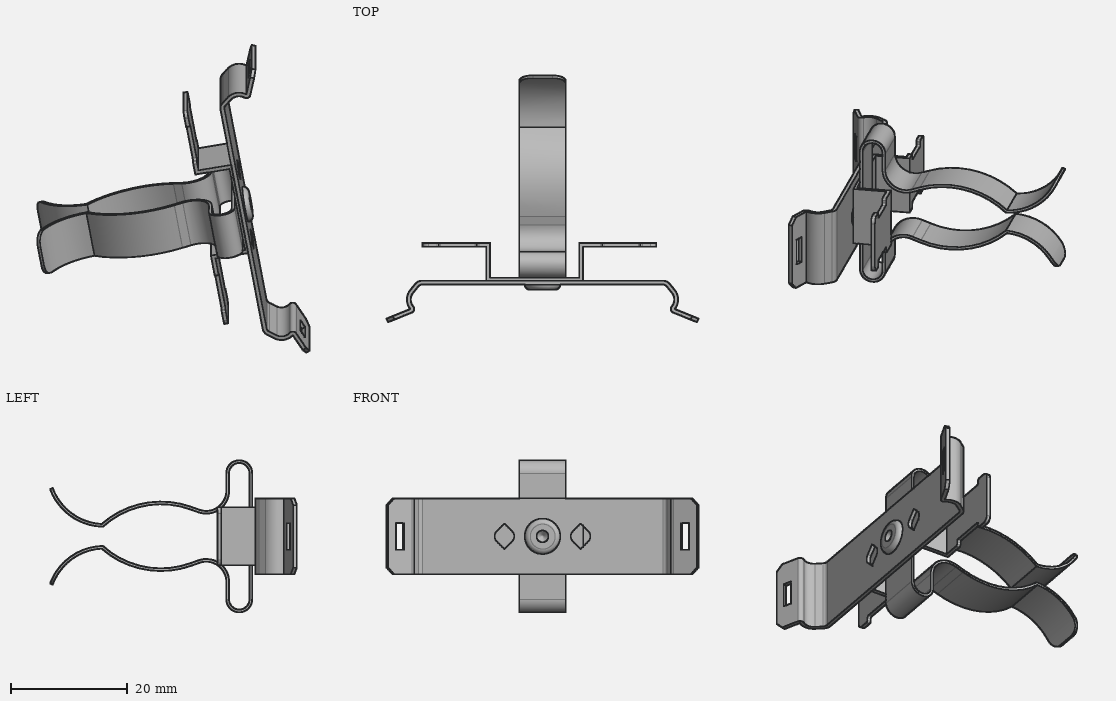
import cadquery as cq
import math


SHEET = 0.7
THIN_SHEET = 0.5

PLATE_HEIGHT = 13.0
PLATE_LENGTH = 53.35
FLAT_HALF = 20.55
SHOULDER_RADIUS = 1.6
SHOULDER_ANGLE = 53.0
BULGE_RADIUS = 2.5
BULGE_X = 23.2
BULGE_Y = -3.25
BULGE_RETURN_ANGLE = 40.0
TAB_ANGLE = 22.0
TAB_CHAMFER = 1.2
TAB_SLOT_WIDTH = 1.5
TAB_SLOT_HEIGHT = 4.55
TAB_SLOT_X = 24.6
DIAMOND_X = 6.5
DIAMOND_HALF_HEIGHT = 2.2
DIAMOND_CORNER_RADIUS = 1.25

BRACKET_HEIGHT = 10.0
BRACKET_DEPTH = 6.45
BRACKET_LENGTH = 40.0
BRACKET_X = -0.55
CHANNEL_WIDTH = 16.6
CHANNEL_X = -1.35
NOTCH_LENGTH = 34.45
NOTCH_WIDTH = 6.5
NOTCH_DEPTH = 1.1
NOTCH_RADIUS = 0.3
EAR_RADIUS = 1.0

CLIP_WIDTH = 8.0
CLIP_HEIGHT = 26.05
LOOP_RADIUS = 2.0
THROAT_RADIUS = 3.7
THROAT_Z = 4.1
JAW_RADIUS = 15.05
JAW_Y = 16.1
JAW_Z = 5.7
LIP_RADIUS = 9.6
LIP_Y = 25.8
LIP_Z = 11.45
LIP_END_ANGLE = 20.0
LIP_CORNER_RADIUS = 2.35

RIVET_HEAD_RADIUS = 3.05
RIVET_HEAD_HEIGHT = 0.9
RIVET_SHANK_RADIUS = 1.5
RIVET_DIMPLE_RADIUS = 1.0
RIVET_DIMPLE_DEPTH = 1.0


def polar(center, radius, degrees):
    """Point at an angle on a circle."""
    angle = math.radians(degrees)
    return (center[0] + radius * math.cos(angle), center[1] + radius * math.sin(angle))


def rivet_hole(depth):
    """Cylinder on the rivet axis from the plate front to the given Y."""
    face = cq.Workplane("XZ", origin=(0, -SHEET, 0)).circle(RIVET_SHANK_RADIUS)
    return face.extrude(-(depth + SHEET))


BULGE_CENTER = (BULGE_X - BULGE_RADIUS, BULGE_Y)
REAR_BEND = polar(BULGE_CENTER, BULGE_RADIUS, -BULGE_RETURN_ANGLE)


def tab_rear_y(x):
    """Y of the tab's rear face at a given X."""
    return REAR_BEND[1] - (x - REAR_BEND[0]) * math.tan(math.radians(TAB_ANGLE))


def plate_section():
    """Right half of the bent strip, seen along Z."""
    shoulder = (FLAT_HALF, -SHOULDER_RADIUS)
    shoulder_end = 90 - SHOULDER_ANGLE
    tab_end = (PLATE_LENGTH / 2, tab_rear_y(PLATE_LENGTH / 2))
    front_normal = -90 - TAB_ANGLE
    bend_start = 180 - BULGE_RETURN_ANGLE
    bend_middle = (bend_start + front_normal + 360) / 2
    shoulder_inner = SHOULDER_RADIUS - SHEET
    bulge_inner = BULGE_RADIUS - SHEET
    return (
        cq.Workplane("XY", origin=(0, 0, -PLATE_HEIGHT / 2))
        .moveTo(0, 0)
        .lineTo(FLAT_HALF, 0)
        .threePointArc(polar(shoulder, SHOULDER_RADIUS, (90 + shoulder_end) / 2),
                       polar(shoulder, SHOULDER_RADIUS, shoulder_end))
        .lineTo(*polar(BULGE_CENTER, BULGE_RADIUS, shoulder_end))
        .threePointArc(polar(BULGE_CENTER, BULGE_RADIUS, 0), REAR_BEND)
        .lineTo(*tab_end)
        .lineTo(*polar(tab_end, SHEET, front_normal))
        .lineTo(*polar(REAR_BEND, SHEET, front_normal))
        .threePointArc(polar(REAR_BEND, SHEET, bend_middle), polar(REAR_BEND, SHEET, bend_start))
        .threePointArc(polar(BULGE_CENTER, bulge_inner, 0), polar(BULGE_CENTER, bulge_inner, shoulder_end))
        .lineTo(*polar(shoulder, shoulder_inner, shoulder_end))
        .threePointArc(polar(shoulder, shoulder_inner, (90 + shoulder_end) / 2),
                       (FLAT_HALF, -SHEET))
        .lineTo(0, -SHEET)
        .close()
    )


def make_plate():
    half = plate_section().extrude(PLATE_HEIGHT)
    half = half.faces(">X").edges("<Z or >Z").chamfer(TAB_CHAMFER)

    slot_cut_depth = 4 * SHEET
    slot = (
        cq.Workplane("XY")
        .box(TAB_SLOT_WIDTH, slot_cut_depth, TAB_SLOT_HEIGHT)
        .rotate((0, 0, 0), (0, 0, 1), -TAB_ANGLE)
        .translate((TAB_SLOT_X, tab_rear_y(TAB_SLOT_X), 0))
    )
    diamond = (
        cq.Workplane("XZ")
        .polyline([(DIAMOND_HALF_HEIGHT, 0), (0, DIAMOND_HALF_HEIGHT),
                   (-DIAMOND_HALF_HEIGHT, 0), (0, -DIAMOND_HALF_HEIGHT)])
        .close()
        .extrude(SHEET)
        .edges("<X or >X")
        .fillet(DIAMOND_CORNER_RADIUS)
        .translate((DIAMOND_X, 0, 0))
    )
    half = half.cut(slot).cut(diamond)
    return half.union(half.mirror("YZ")).cut(rivet_hole(0))


def make_bracket():
    wall_left = CHANNEL_X - CHANNEL_WIDTH / 2
    wall_right = CHANNEL_X + CHANNEL_WIDTH / 2
    wing_left = BRACKET_X - BRACKET_LENGTH / 2
    wing_right = BRACKET_X + BRACKET_LENGTH / 2
    wing_front = BRACKET_DEPTH - SHEET
    bracket = (
        cq.Workplane("XY", origin=(0, 0, -BRACKET_HEIGHT / 2))
        .polyline([
            (wing_left, BRACKET_DEPTH), (wing_left, wing_front),
            (wall_left, wing_front), (wall_left, 0),
            (wall_right, 0), (wall_right, wing_front),
            (wing_right, wing_front), (wing_right, BRACKET_DEPTH),
            (wall_right - SHEET, BRACKET_DEPTH), (wall_right - SHEET, THIN_SHEET),
            (wall_left + SHEET, THIN_SHEET), (wall_left + SHEET, BRACKET_DEPTH),
        ])
        .close()
        .extrude(BRACKET_HEIGHT)
    )
    notch_offset = (NOTCH_LENGTH - NOTCH_WIDTH) / 2
    notch_z = BRACKET_HEIGHT / 2
    notches = (
        cq.Workplane("XZ", origin=(0, BRACKET_DEPTH, 0))
        .pushPoints([(BRACKET_X + sx * notch_offset, sz * notch_z)
                     for sx in (-1, 1) for sz in (-1, 1)])
        .rect(NOTCH_WIDTH, 2 * NOTCH_DEPTH)
        .extrude(SHEET)
        .edges("|Y")
        .fillet(NOTCH_RADIUS)
    )
    bracket = bracket.cut(notches)
    bracket = bracket.edges("|Y").edges("<X or >X").fillet(EAR_RADIUS)

    mouth_box = cq.selectors.BoxSelector(
        (BRACKET_X - NOTCH_LENGTH / 2 - NOTCH_RADIUS, wing_front, -BRACKET_HEIGHT),
        (BRACKET_X + NOTCH_LENGTH / 2 + NOTCH_RADIUS, BRACKET_DEPTH, BRACKET_HEIGHT),
    )
    bracket = bracket.edges("|Y").edges("<Z or >Z").edges(mouth_box).fillet(NOTCH_RADIUS)
    return bracket.cut(rivet_hole(THIN_SHEET))


BACK_Y = THIN_SHEET + THIN_SHEET / 2
LEG_Y = BACK_Y + 2 * LOOP_RADIUS
LOOP_CENTER = (BACK_Y + LOOP_RADIUS, CLIP_HEIGHT / 2 - LOOP_RADIUS - THIN_SHEET / 2)
THROAT_CENTER = (LEG_Y + THROAT_RADIUS, THROAT_Z + THROAT_RADIUS)
JAW_CENTER = (JAW_Y, JAW_Z - JAW_RADIUS)
LIP_CENTER = (LIP_Y, LIP_Z)


def tangent_angle():
    """Direction from the jaw centre to the end of the straight that joins jaw and throat."""
    dy = THROAT_CENTER[0] - JAW_CENTER[0]
    dz = THROAT_CENTER[1] - JAW_CENTER[1]
    spread = math.acos((JAW_RADIUS + THROAT_RADIUS) / math.hypot(dy, dz))
    return math.degrees(math.atan2(dz, dy) - spread)


def kink_point(jaw_radius, lip_radius):
    """Crossing of the jaw and lip circles."""
    dy = LIP_CENTER[0] - JAW_CENTER[0]
    dz = LIP_CENTER[1] - JAW_CENTER[1]
    distance = math.hypot(dy, dz)
    cosine = (jaw_radius**2 + distance**2 - lip_radius**2) / (2 * jaw_radius * distance)
    angle = math.degrees(math.atan2(dz, dy) - math.acos(cosine))
    return polar(JAW_CENTER, jaw_radius, angle), angle


def line(start, end):
    return cq.Edge.makeLine(cq.Vector(*start), cq.Vector(*end))


def arc(center, radius, start, end):
    """Arc between two angles about a centre."""
    points = [polar(center, radius, angle) for angle in (start, (start + end) / 2, end)]
    return cq.Edge.makeThreePointArc(*[cq.Vector(*point) for point in points])


def strip_face(outward):
    """Edges of one face of the upper arm from the back to the lip tip; `outward` is its distance
    from the middle of the strip, positive on the outside of the loop."""
    loop_radius = LOOP_RADIUS + outward
    throat_radius = THROAT_RADIUS - outward
    jaw_radius = JAW_RADIUS + outward
    lip_radius = LIP_RADIUS - outward
    join = tangent_angle()
    kink, kink_angle = kink_point(jaw_radius, lip_radius)
    lip_start = math.degrees(math.atan2(kink[1] - LIP_Z, kink[0] - LIP_Y))
    return [
        line((BACK_Y - outward, 0), polar(LOOP_CENTER, loop_radius, 180)),
        arc(LOOP_CENTER, loop_radius, 180, 0),
        line(polar(LOOP_CENTER, loop_radius, 0), polar(THROAT_CENTER, throat_radius, 180)),
        arc(THROAT_CENTER, throat_radius, -180, join - 180),
        line(polar(THROAT_CENTER, throat_radius, join - 180), polar(JAW_CENTER, jaw_radius, join)),
        arc(JAW_CENTER, jaw_radius, join, kink_angle),
        arc(LIP_CENTER, lip_radius, lip_start, -LIP_END_ANGLE),
    ]


def make_clip():
    outside = strip_face(THIN_SHEET / 2)
    inside = strip_face(-THIN_SHEET / 2)
    back_end = line((BACK_Y - THIN_SHEET / 2, 0), (BACK_Y + THIN_SHEET / 2, 0))
    tip_end = line(polar(LIP_CENTER, LIP_RADIUS - THIN_SHEET / 2, -LIP_END_ANGLE),
                   polar(LIP_CENTER, LIP_RADIUS + THIN_SHEET / 2, -LIP_END_ANGLE))
    outline = cq.Wire.assembleEdges([back_end, *outside, tip_end, *reversed(inside)])
    arm = cq.Workplane("YZ").add(outline.moved(cq.Plane.YZ().location)).toPending()
    arm = arm.extrude(CLIP_WIDTH / 2, both=True)
    tip_middle = polar(LIP_CENTER, LIP_RADIUS, -LIP_END_ANGLE)
    tip_corners = [cq.selectors.NearestToPointSelector((side * CLIP_WIDTH / 2, *tip_middle))
                   for side in (-1, 1)]
    arm = arm.edges(tip_corners[0] + tip_corners[1]).fillet(LIP_CORNER_RADIUS)
    return arm.union(arm.mirror("XY")).cut(rivet_hole(2 * THIN_SHEET))


def make_rivet():
    """Domed head in front of the plate, with a conical dimple, and a shank through the sheets."""
    crown = RIVET_HEAD_RADIUS - RIVET_HEAD_HEIGHT
    seat = -SHEET
    top = seat - RIVET_HEAD_HEIGHT
    shank_end = 2 * THIN_SHEET
    return (
        cq.Workplane("XY")
        .moveTo(0, shank_end)
        .lineTo(RIVET_SHANK_RADIUS, shank_end)
        .lineTo(RIVET_SHANK_RADIUS, seat)
        .lineTo(RIVET_HEAD_RADIUS, seat)
        .threePointArc(polar((crown, seat), RIVET_HEAD_HEIGHT, -45), (crown, top))
        .lineTo(RIVET_DIMPLE_RADIUS, top)
        .lineTo(0, top + RIVET_DIMPLE_DEPTH)
        .close()
        .revolve(360, (0, 0, 0), (0, 1, 0))
    )


plate = make_plate()
bracket = make_bracket()
clip = make_clip()
rivet = make_rivet()

result = cq.Compound.makeCompound([plate.val(), bracket.val(), clip.val(), rivet.val()])